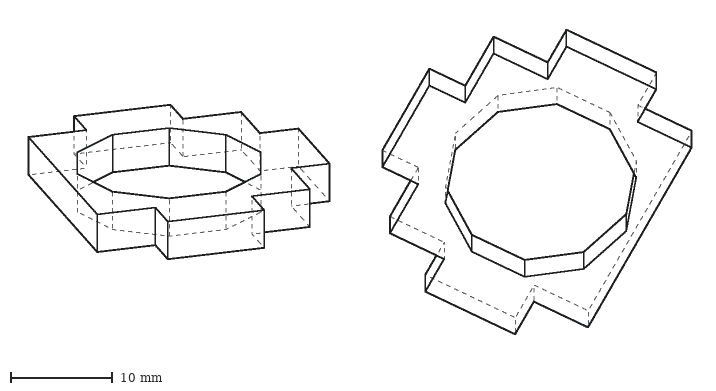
import cadquery as cq

overall_width = 30.0
thickness = 4.0
tab_length = 4.0
tab_width = 10.0
hole_sides = 10
hole_across_corners = 19.0

body_side = overall_width - 2 * tab_length
half_body = body_side / 2


def make_body():
    """Square plate centred on the origin, standing on Z = 0."""
    return cq.Workplane("XY").rect(body_side, body_side).extrude(thickness)


def make_side_tabs():
    """One bar across the body forms the tabs on -X and +X."""
    return cq.Workplane("XY").rect(overall_width, tab_width).extrude(thickness)


def make_back_tab():
    """Bar from the body centre to the end of the +Y tab."""
    reach = half_body + tab_length
    return cq.Workplane("XY").center(0, reach / 2).rect(tab_width, reach).extrude(thickness)


def make_hole():
    """Decagonal through hole with a corner pointing along +Y."""
    decagon = cq.Workplane("XY").polygon(hole_sides, hole_across_corners).extrude(thickness)
    return decagon.rotate((0, 0, 0), (0, 0, 1), 90)


plate = make_body().union(make_side_tabs()).union(make_back_tab())
result = plate.cut(make_hole())